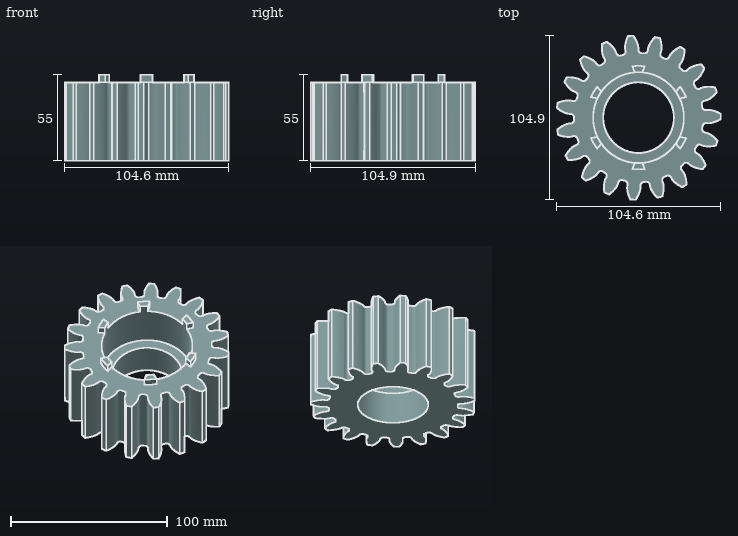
import cadquery as cq
import math

TOOTH_COUNT = 19
TIP_RADIUS = 52.5
PRESSURE_ANGLE = math.radians(20)
DEDENDUM_FACTOR = 1.25
MODULE = 2 * TIP_RADIUS / (TOOTH_COUNT + 2)
PITCH_RADIUS = MODULE * TOOTH_COUNT / 2
BASE_RADIUS = PITCH_RADIUS * math.cos(PRESSURE_ANGLE)
ROOT_RADIUS = PITCH_RADIUS - DEDENDUM_FACTOR * MODULE
ROOT_FILLET = 2.1
GEAR_HEIGHT = 50.0
FLANK_POINTS = 6

BORE_DIAMETER = 45.0
COUNTERBORE_DIAMETER = 58.0
COUNTERBORE_DEPTH = 28.1

DOG_COUNT = 6
DOG_FIRST_ANGLE = 30
DOG_HEIGHT = 5.0
DOG_OUTER_RADIUS = 33.0
DOG_OUTER_WIDTH = 7.8
DOG_SIDE_ANGLE = math.radians(20)
TOTAL_HEIGHT = GEAR_HEIGHT + DOG_HEIGHT


def involute(pressure_angle):
    """Polar angle an involute has swept where it meets the given pressure angle."""
    return math.tan(pressure_angle) - pressure_angle


TOOTH_PITCH_ANGLE = 2 * math.pi / TOOTH_COUNT
FIRST_TOOTH_ANGLE = involute(PRESSURE_ANGLE)
BASE_HALF_ANGLE = TOOTH_PITCH_ANGLE / 4 + involute(PRESSURE_ANGLE)

FILLET_CENTER_RADIUS = ROOT_RADIUS + ROOT_FILLET
FILLET_ANGLE = math.asin(ROOT_FILLET / FILLET_CENTER_RADIUS)
FILLET_END_RADIUS = FILLET_CENTER_RADIUS * math.cos(FILLET_ANGLE)


def polar(radius, angle):
    return (radius * math.cos(angle), radius * math.sin(angle))


def flank_half_angle(radius):
    """Half the angle a tooth spans at a radius on its involute flank."""
    return BASE_HALF_ANGLE - involute(math.acos(BASE_RADIUS / radius))


def fillet_middle(tooth_angle, side):
    """Middle point of a root fillet; side is -1 or +1 about the tooth axis."""
    center_angle = tooth_angle + side * (BASE_HALF_ANGLE + FILLET_ANGLE)
    center_x, center_y = polar(FILLET_CENTER_RADIUS, center_angle)
    to_root = center_angle + math.pi
    to_flank = center_angle - side * (math.pi / 2 + FILLET_ANGLE)
    direction_x = math.cos(to_root) + math.cos(to_flank)
    direction_y = math.sin(to_root) + math.sin(to_flank)
    length = math.hypot(direction_x, direction_y)
    return (
        center_x + ROOT_FILLET * direction_x / length,
        center_y + ROOT_FILLET * direction_y / length,
    )


def add_tooth(outline, tooth_angle):
    """Continue the outline over one tooth and along the root to the next tooth."""
    root_half_angle = BASE_HALF_ANGLE + FILLET_ANGLE
    radial_step = (TIP_RADIUS - BASE_RADIUS) / FLANK_POINTS
    radii = [BASE_RADIUS + radial_step * i for i in range(1, FLANK_POINTS + 1)]
    rising = [polar(r, tooth_angle - flank_half_angle(r)) for r in radii]
    falling = [polar(r, tooth_angle + flank_half_angle(r)) for r in reversed(radii[:-1])]
    falling.append(polar(BASE_RADIUS, tooth_angle + BASE_HALF_ANGLE))
    flank_start = polar(FILLET_END_RADIUS, tooth_angle - BASE_HALF_ANGLE)
    tip_end = polar(TIP_RADIUS, tooth_angle + flank_half_angle(TIP_RADIUS))
    next_tooth = tooth_angle + TOOTH_PITCH_ANGLE
    return (
        outline
        .threePointArc(fillet_middle(tooth_angle, -1), flank_start)
        .lineTo(*polar(BASE_RADIUS, tooth_angle - BASE_HALF_ANGLE))
        .spline(rising, includeCurrent=True)
        .threePointArc(polar(TIP_RADIUS, tooth_angle), tip_end)
        .spline(falling, includeCurrent=True)
        .lineTo(*polar(FILLET_END_RADIUS, tooth_angle + BASE_HALF_ANGLE))
        .threePointArc(fillet_middle(tooth_angle, 1), polar(ROOT_RADIUS, tooth_angle + root_half_angle))
        .threePointArc(
            polar(ROOT_RADIUS, tooth_angle + TOOTH_PITCH_ANGLE / 2),
            polar(ROOT_RADIUS, next_tooth - root_half_angle),
        )
    )


def gear_body():
    start_angle = FIRST_TOOTH_ANGLE - BASE_HALF_ANGLE - FILLET_ANGLE
    outline = cq.Workplane("XY").moveTo(*polar(ROOT_RADIUS, start_angle))
    for i in range(TOOTH_COUNT):
        outline = add_tooth(outline, FIRST_TOOTH_ANGLE + i * TOOTH_PITCH_ANGLE)
    return outline.close().extrude(GEAR_HEIGHT)


def dog():
    """One dog on the +X axis: a wedge with an arc outer face, its apex inside the counterbore."""
    half_width = DOG_OUTER_WIDTH / 2
    outer_x = math.sqrt(DOG_OUTER_RADIUS**2 - half_width**2)
    apex_x = outer_x - half_width / math.tan(DOG_SIDE_ANGLE)
    return (
        cq.Workplane("XY")
        .moveTo(apex_x, 0)
        .lineTo(outer_x, -half_width)
        .threePointArc((DOG_OUTER_RADIUS, 0), (outer_x, half_width))
        .close()
        .extrude(TOTAL_HEIGHT)
    )


def stepped_bore():
    """Through bore and counterbore; the counterbore also trims the inner end of each dog."""
    bore = cq.Workplane("XY").circle(BORE_DIAMETER / 2).extrude(TOTAL_HEIGHT)
    counterbore = (
        cq.Workplane("XY")
        .workplane(offset=GEAR_HEIGHT - COUNTERBORE_DEPTH)
        .circle(COUNTERBORE_DIAMETER / 2)
        .extrude(COUNTERBORE_DEPTH + DOG_HEIGHT)
    )
    return bore.union(counterbore)


result = gear_body()
for dog_index in range(DOG_COUNT):
    dog_angle = DOG_FIRST_ANGLE + dog_index * 360 / DOG_COUNT
    result = result.union(dog().rotate((0, 0, 0), (0, 0, 1), dog_angle))
result = result.cut(stepped_bore())